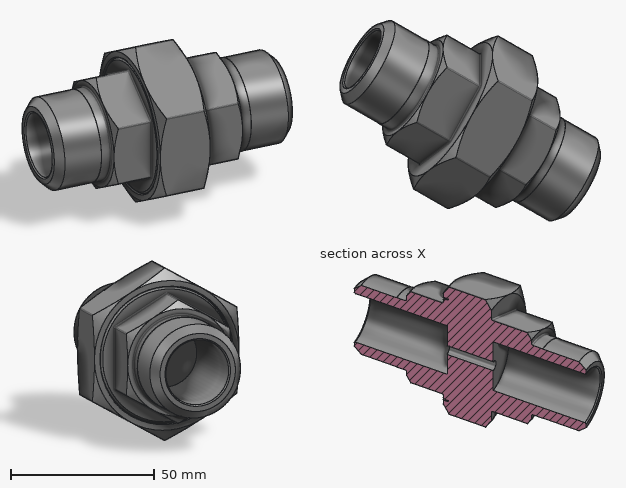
import cadquery as cq
import math

length = 90.9
nut_width = 19.0
front_stub = 34.8
front_hex_width = 14.4
front_collar_width = 3.7
rear_hex_width = 15.7
rear_collar_width = 4.4

front_end = -length / 2
rear_end = length / 2
nut_front = front_end + front_stub
nut_rear = nut_front + nut_width

body_hex_flats = 38.0
nut_hex_flats = 53.0
hex_edge_radius = 0.45
hex_chamfer_angle = 30.0

thread_diameter = 33.3
collar_diameter = 33.45
end_chamfer = 2.8
root_fillet = 0.5

bore_diameter = 23.0
bore_chamfer = 0.5
orifice_diameter = 4.0
web_thickness = 18.2

gap_outer_diameter = 49.0
gap_inner_diameter = 48.4
gap_face_diameter = 47.0
gap_depth = 2.0


def plane_at(y, direction=1):
    """Workplane across the axis at y, facing +Y (direction 1) or -Y (direction -1)."""
    return cq.Workplane(cq.Plane(origin=(0, y, 0), xDir=(0, 0, 1), normal=(0, direction, 0)))


def hex_prism(flats, y, width, direction):
    """Hexagonal prism with slightly rounded long edges."""
    corner_diameter = flats / math.cos(math.radians(30))
    prism = plane_at(y, direction).polygon(6, corner_diameter).extrude(width)
    return prism.edges("|Y").fillet(hex_edge_radius)


def chamfer_hex(prism, flats, y, width, direction):
    """Cut the corners at the far end with a cone that meets the end face at the flats' circle."""
    corner_radius = flats / math.cos(math.radians(30)) / 2
    radial = corner_radius - flats / 2
    axial = radial * math.tan(math.radians(hex_chamfer_angle))
    envelope = plane_at(y, direction).circle(corner_radius).extrude(width)
    far_face = ">Y" if direction > 0 else "<Y"
    envelope = envelope.faces(far_face).chamfer(axial, radial)
    return prism.intersect(envelope)


def make_nut():
    nut = hex_prism(nut_hex_flats, nut_front, nut_width, 1)
    nut = chamfer_hex(nut, nut_hex_flats, nut_front, nut_width, 1)
    return chamfer_hex(nut, nut_hex_flats, nut_rear, nut_width, -1)


def fillet_foot(solid, y):
    """Fillet the inner outline of the flat ring-shaped face at y, where a step rises from it."""
    ring = solid.faces("|Y").faces(cq.selectors.NearestToPointSelector((0, y, 0)))
    foot_edges = ring.val().innerWires()[0].Edges()
    return cq.Workplane(solid.val().fillet(root_fillet, foot_edges))


def make_stub(nut_face, end, hex_width, collar_width):
    """Hexagon, collar and chamfered thread on one side of the nut, with both root fillets."""
    direction = 1 if end > nut_face else -1
    far_face = ">Y" if direction > 0 else "<Y"
    hex_face = nut_face + direction * hex_width
    stub_length = abs(end - nut_face)

    backing = plane_at(nut_face, -direction).circle(gap_face_diameter / 2).extrude(gap_depth)
    hexagon = hex_prism(body_hex_flats, nut_face, hex_width, direction)
    hexagon = chamfer_hex(hexagon, body_hex_flats, nut_face, hex_width, direction)
    stub = backing.union(hexagon)
    stub = fillet_foot(stub, nut_face)

    collar = plane_at(hex_face, direction).circle(collar_diameter / 2).extrude(collar_width)
    stub = fillet_foot(stub.union(collar), hex_face)

    thread = plane_at(nut_face, direction).circle(thread_diameter / 2).extrude(stub_length)
    thread = thread.faces(far_face).chamfer(end_chamfer)
    return stub.union(thread)


def make_gap():
    """Ring cutter at the nut's front face; its inner side leaves a 45 degree chamfer on the body."""
    chamfer_depth = (gap_inner_diameter - gap_face_diameter) / 2
    profile = [
        (gap_face_diameter / 2, nut_front),
        (gap_inner_diameter / 2, nut_front + chamfer_depth),
        (gap_inner_diameter / 2, nut_front + gap_depth),
        (gap_outer_diameter / 2, nut_front + gap_depth),
        (gap_outer_diameter / 2, nut_front),
    ]
    return cq.Workplane("XY").polyline(profile).close().revolve(360, (0, 0, 0), (0, 1, 0))


def make_bore(end):
    """Blind bore with a chamfered mouth, stopping at the central web."""
    direction = -1 if end > 0 else 1
    depth = (length - web_thickness) / 2
    bore = plane_at(end, direction).circle(bore_diameter / 2).extrude(depth)
    mouth = (
        plane_at(end, direction)
        .circle(bore_diameter / 2 + bore_chamfer)
        .workplane(offset=bore_chamfer)
        .circle(bore_diameter / 2)
        .loft()
    )
    return bore.union(mouth)


front_stub_body = make_stub(nut_front, front_end, front_hex_width, front_collar_width)
rear_stub_body = make_stub(nut_rear, rear_end, rear_hex_width, rear_collar_width)
orifice = plane_at(front_end).circle(orifice_diameter / 2).extrude(length)

result = make_nut().union(front_stub_body).union(rear_stub_body)
result = result.cut(make_gap())
for bore_end in (front_end, rear_end):
    result = result.cut(make_bore(bore_end))
result = result.cut(orifice)